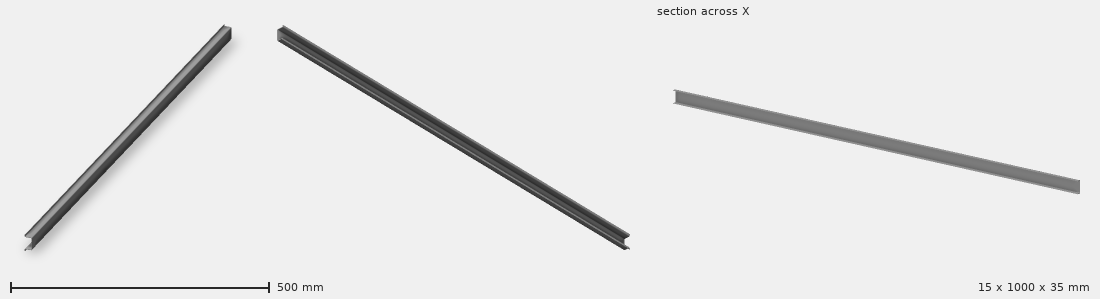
import cadquery as cq

rail_length = 1000.0
rail_depth = 15.0
rail_height = 35.0
channel_height = 27.0
sheet_thickness = 1.0
inner_bend_radius = 0.8

outer_bend_radius = inner_bend_radius + sheet_thickness

lip_front = -rail_depth / 2
lip_back = lip_front + sheet_thickness
web_back = rail_depth / 2
web_front = web_back - sheet_thickness
lip_edge = rail_height / 2
wall_outside = channel_height / 2
wall_inside = wall_outside - sheet_thickness


def make_blank():
    """Sharp-cornered rail: a channel with an outward lip along each free edge."""
    upper_half = [
        (web_front, wall_inside),
        (lip_front, wall_inside),
        (lip_front, lip_edge),
        (lip_back, lip_edge),
        (lip_back, wall_outside),
        (web_back, wall_outside),
    ]
    lower_half = [(x, -z) for x, z in reversed(upper_half)]
    return (
        cq.Workplane("XZ")
        .polyline(upper_half + lower_half)
        .close()
        .extrude(rail_length / 2, both=True)
    )


def lengthwise_edge(x, z):
    """Selector for the edge running along Y at (x, z)."""
    margin = sheet_thickness / 4
    return cq.selectors.BoxSelector(
        (x - margin, -margin, z - margin),
        (x + margin, margin, z + margin),
    )


def round_bends(rail):
    """Round both sides of the four sheet bends."""
    bends = [
        (lip_front, wall_inside, outer_bend_radius),
        (lip_back, wall_outside, inner_bend_radius),
        (web_back, wall_outside, outer_bend_radius),
        (web_front, wall_inside, inner_bend_radius),
    ]
    for x, z, radius in bends:
        edge_pair = lengthwise_edge(x, z) + lengthwise_edge(x, -z)
        rail = rail.edges(edge_pair).fillet(radius)
    return rail


result = round_bends(make_blank())